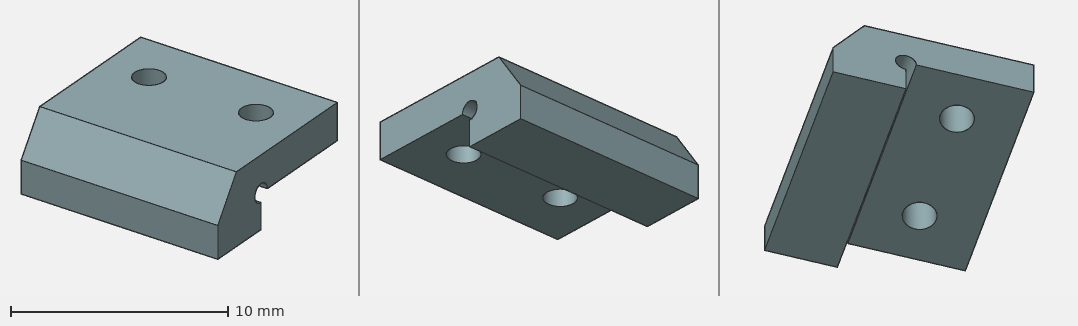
import cadquery as cq
import math

width = 11.03
depth = 9.65
height = 3.92

plate_thickness = 2.0
lip_depth = 3.5
bevel_run = 1.5
bevel_angle = 55.0
relief_radius = 0.5

hole_diameter = 1.6
hole_spacing = 6.0
hole_from_back = 2.95

front_y = -depth / 2
back_y = depth / 2
corner_y = front_y + lip_depth
plate_bottom_z = height - plate_thickness
bevel_drop = bevel_run * math.tan(math.radians(bevel_angle))


def make_body():
    """Side profile in the YZ plane, extruded across the full width."""
    relief_mid = relief_radius * math.sqrt(0.5)
    return (
        cq.Workplane("YZ")
        .moveTo(front_y, 0)
        .lineTo(corner_y, 0)
        .lineTo(corner_y, plate_bottom_z - relief_radius)
        .threePointArc(
            (corner_y - relief_mid, plate_bottom_z + relief_mid),
            (corner_y + relief_radius, plate_bottom_z),
        )
        .lineTo(back_y, plate_bottom_z)
        .lineTo(back_y, height)
        .lineTo(front_y + bevel_run, height)
        .lineTo(front_y, height - bevel_drop)
        .close()
        .extrude(width / 2, both=True)
    )


def make_holes():
    """Pair of vertical through holes near the back edge."""
    hole_y = back_y - hole_from_back
    return (
        cq.Workplane("XY")
        .pushPoints([(side * hole_spacing / 2, hole_y) for side in (-1, 1)])
        .circle(hole_diameter / 2)
        .extrude(height)
    )


result = make_body().cut(make_holes())